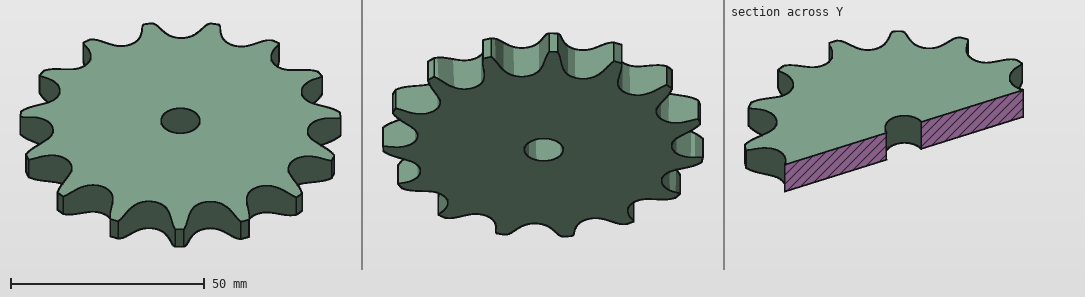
import math

import cadquery as cq

CHAIN_PITCH = 15.875
ROLLER_DIAMETER = 10.16
TOOTH_COUNT = 15
TIP_RADIUS = 41.5
THICKNESS = 9.1
BORE_DIAMETER = 10.0
SIDE_RELIEF_RADIUS = 16.0
SIDE_RELIEF_DEPTH = 1.6
SEATING_CLEARANCE = 0.0381

TOOTH_ANGLE = 2 * math.pi / TOOTH_COUNT
HALF_TOOTH_ANGLE = TOOTH_ANGLE / 2
PITCH_RADIUS = CHAIN_PITCH / 2 / math.sin(HALF_TOOTH_ANGLE)
FIRST_TOOTH_ANGLE = -math.pi / 2

SEATING_RADIUS = 0.50025 * ROLLER_DIAMETER + SEATING_CLEARANCE
WORKING_CENTRE_OFFSET = 0.8 * ROLLER_DIAMETER
TOPPING_CENTRE_OFFSET = 1.4 * ROLLER_DIAMETER
WORKING_RADIUS = SEATING_RADIUS + WORKING_CENTRE_OFFSET
SEATING_END_ANGLE = math.radians(35 + 60 / TOOTH_COUNT)
WORKING_SWEEP = math.radians(18 - 56 / TOOTH_COUNT)
PRESSURE_ANGLE = math.radians(17 - 64 / TOOTH_COUNT)
FLANK_LENGTH = (
    TOPPING_CENTRE_OFFSET * math.sin(PRESSURE_ANGLE)
    - WORKING_CENTRE_OFFSET * math.sin(WORKING_SWEEP)
)


def offset(point, distance, angle):
    """Point at a distance from another point, in the direction of an angle."""
    return (point[0] + distance * math.cos(angle), point[1] + distance * math.sin(angle))


def mirrored(point):
    """Mirror a point across the X axis, the centre line of the gap."""
    return (point[0], -point[1])


def rotated(point, angle):
    """Rotate a point about the sprocket axis."""
    return offset((0, 0), math.hypot(*point), math.atan2(point[1], point[0]) + angle)


def half_gap_points():
    """Points from the root to the tooth tip, for the +Y half of a gap centred on +X."""
    roller_centre = (PITCH_RADIUS, 0)
    root = offset(roller_centre, SEATING_RADIUS, math.pi)

    seating_end_direction = math.pi / 2 + SEATING_END_ANGLE
    seating_end = offset(roller_centre, SEATING_RADIUS, seating_end_direction)
    working_centre = offset(roller_centre, -WORKING_CENTRE_OFFSET, seating_end_direction)
    flank_normal = seating_end_direction - WORKING_SWEEP
    working_mid = offset(working_centre, WORKING_RADIUS, seating_end_direction - WORKING_SWEEP / 2)
    flank_start = offset(working_centre, WORKING_RADIUS, flank_normal)

    flank_end = offset(flank_start, FLANK_LENGTH, flank_normal - math.pi / 2)

    topping_centre = offset(roller_centre, TOPPING_CENTRE_OFFSET, math.pi / 2 + HALF_TOOTH_ANGLE)
    topping_radius = math.dist(topping_centre, flank_end)
    centre_distance = math.hypot(*topping_centre)
    centre_direction = math.atan2(topping_centre[1], topping_centre[0])
    tip_cosine = (TIP_RADIUS**2 + centre_distance**2 - topping_radius**2) / (2 * TIP_RADIUS * centre_distance)
    tip_angle = centre_direction - math.acos(tip_cosine)
    tip = offset((0, 0), TIP_RADIUS, tip_angle)
    start_direction = math.atan2(flank_end[1] - topping_centre[1], flank_end[0] - topping_centre[0])
    end_direction = math.atan2(tip[1] - topping_centre[1], tip[0] - topping_centre[0])
    topping_mid = offset(topping_centre, topping_radius, (start_direction + end_direction) / 2)

    return root, seating_end, working_mid, flank_start, flank_end, topping_mid, tip


def toothed_plate():
    """Plate of full thickness with the toothed outline, centred on Z = 0."""
    root, seating_end, working_mid, flank_start, flank_end, topping_mid, tip = half_gap_points()
    first_gap_angle = FIRST_TOOTH_ANGLE + HALF_TOOTH_ANGLE
    outline = cq.Workplane("XY", origin=(0, 0, -THICKNESS / 2))
    outline = outline.moveTo(*rotated(mirrored(tip), first_gap_angle))
    for gap in range(TOOTH_COUNT):
        angle = first_gap_angle + gap * TOOTH_ANGLE
        next_angle = angle + TOOTH_ANGLE
        tooth_top = offset((0, 0), TIP_RADIUS, angle + HALF_TOOTH_ANGLE)
        outline = (
            outline.threePointArc(
                rotated(mirrored(topping_mid), angle), rotated(mirrored(flank_end), angle)
            )
            .lineTo(*rotated(mirrored(flank_start), angle))
            .threePointArc(
                rotated(mirrored(working_mid), angle), rotated(mirrored(seating_end), angle)
            )
            .threePointArc(rotated(root, angle), rotated(seating_end, angle))
            .threePointArc(rotated(working_mid, angle), rotated(flank_start, angle))
            .lineTo(*rotated(flank_end, angle))
            .threePointArc(rotated(topping_mid, angle), rotated(tip, angle))
            .threePointArc(tooth_top, rotated(mirrored(tip), next_angle))
        )
    return outline.close().extrude(THICKNESS)


def side_relief_envelope():
    """Disc with rounded sides that narrows the teeth toward their tips."""
    half_thickness = THICKNESS / 2
    half_tip_width = half_thickness - SIDE_RELIEF_DEPTH
    arc_centre_z = half_thickness - SIDE_RELIEF_RADIUS
    tip_arc_angle = math.acos(1 - SIDE_RELIEF_DEPTH / SIDE_RELIEF_RADIUS)
    flat_radius = TIP_RADIUS - SIDE_RELIEF_RADIUS * math.sin(tip_arc_angle)
    arc_mid = offset((flat_radius, arc_centre_z), SIDE_RELIEF_RADIUS, math.pi / 2 - tip_arc_angle / 2)
    profile = (
        cq.Workplane("XZ")
        .moveTo(0, -half_thickness)
        .lineTo(flat_radius, -half_thickness)
        .threePointArc(mirrored(arc_mid), (TIP_RADIUS, -half_tip_width))
        .lineTo(TIP_RADIUS, half_tip_width)
        .threePointArc(arc_mid, (flat_radius, half_thickness))
        .lineTo(0, half_thickness)
        .close()
    )
    return profile.revolve(360, (0, 0, 0), (0, 1, 0))


def bore():
    """Central through bore."""
    bottom = cq.Workplane("XY", origin=(0, 0, -THICKNESS / 2))
    return bottom.circle(BORE_DIAMETER / 2).extrude(THICKNESS)


result = toothed_plate().intersect(side_relief_envelope()).cut(bore())